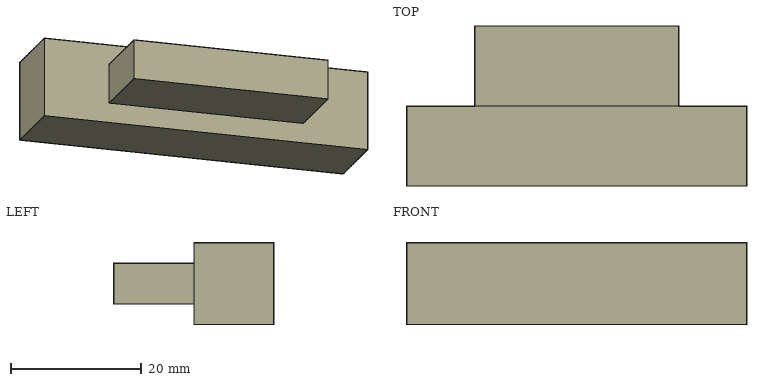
import cadquery as cq

total_depth = 24.6

bar_length = 52.2
bar_depth = total_depth / 2
bar_height = 12.6

tongue_length = 0.6 * bar_length
tongue_depth = total_depth - bar_depth
tongue_height = bar_height / 2

bar = cq.Workplane("XY").box(bar_length, bar_depth, bar_height)

tongue = (
    bar.faces(">Y")
    .workplane(centerOption="CenterOfMass")
    .rect(tongue_length, tongue_height)
    .extrude(tongue_depth, combine=False)
)

result = bar.union(tongue)